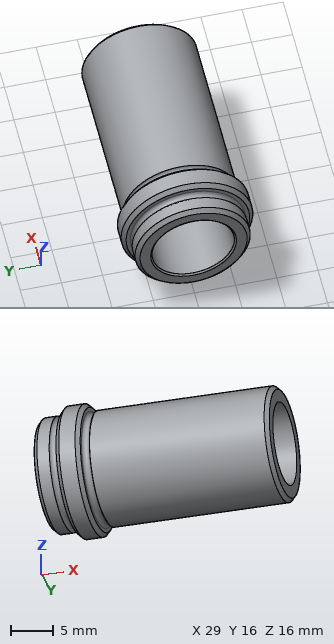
import cadquery as cq

length = 29.0
body_radius = 14.0 / 2
flange_radius = 16.0 / 2
bore_radius = 10.0 / 2
edge_chamfer = 0.5
mouth_chamfer = 0.2
groove_radius = 0.5
flange_start = 3.0
flange_width = 3.0

flange_end = flange_start + flange_width
body_start = flange_end + 2 * groove_radius
collar_end = flange_start - 2 * groove_radius
groove_floor = body_radius - groove_radius


def make_outer_body():
    """Revolve the sleeve with its flange and a round groove on each side of it."""
    profile = (
        cq.Workplane("XY")
        .moveTo(0, 0)
        .lineTo(0, body_radius - edge_chamfer)
        .lineTo(edge_chamfer, body_radius)
        .lineTo(collar_end, body_radius)
        .threePointArc((collar_end + groove_radius, groove_floor), (flange_start, body_radius))
        .lineTo(flange_start, flange_radius - edge_chamfer)
        .lineTo(flange_start + edge_chamfer, flange_radius)
        .lineTo(flange_end - edge_chamfer, flange_radius)
        .lineTo(flange_end, flange_radius - edge_chamfer)
        .lineTo(flange_end, body_radius)
        .threePointArc((flange_end + groove_radius, groove_floor), (body_start, body_radius))
        .lineTo(length - edge_chamfer, body_radius)
        .lineTo(length, body_radius - edge_chamfer)
        .lineTo(length, 0)
        .close()
    )
    return profile.revolve(360, (0, 0, 0), (1, 0, 0))


def make_bore():
    """Make the through bore cutter, widened by a chamfer at the flanged end."""
    profile = (
        cq.Workplane("XY")
        .moveTo(0, 0)
        .lineTo(0, bore_radius + mouth_chamfer)
        .lineTo(mouth_chamfer, bore_radius)
        .lineTo(length, bore_radius)
        .lineTo(length, 0)
        .close()
    )
    return profile.revolve(360, (0, 0, 0), (1, 0, 0))


result = make_outer_body().cut(make_bore())